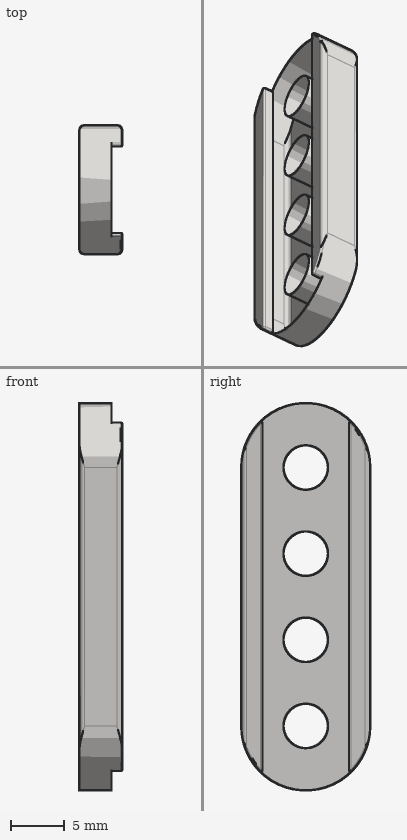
import cadquery as cq

length = 36.0
width = length / 3
thickness = length / 9
plate_thickness = thickness * 3 / 4
side_round = 0.5

hole_count = 4
hole_pitch = width * 2 / 3
hole_diameter = 4.1

lip_gap = width * 2 / 3
lip_tip_radius = 0.198
lip_edge_radius = 0.18


def round_ended_bar(depth):
    """Bar with semicircular ends, its back face on X = 0."""
    return cq.Workplane("YZ").slot2D(length, width, 90).extrude(depth)


def rounded_side_envelope():
    """Full-length block whose long edges carry the side rounding."""
    block = cq.Workplane("XY").box(thickness, width, length, centered=(False, True, True))
    return block.edges("|Z").fillet(side_round)


def lip(side):
    """Edge strip left outside the central gap; side is +1 or -1 along Y."""
    strip_center = side * (lip_gap + width) / 4
    strip_width = (width - lip_gap) / 2
    strip = (
        cq.Workplane("XY")
        .center(0, strip_center)
        .box(thickness, strip_width, length, centered=(False, True, True))
    )
    blank = round_ended_bar(thickness).intersect(strip)
    inner_edges = "<Y" if side > 0 else ">Y"
    blank = blank.faces(inner_edges).edges("|X").fillet(lip_tip_radius)
    return blank.faces(">X").edges().fillet(lip_edge_radius)


def holes():
    """Row of through holes along the length."""
    return (
        cq.Workplane("YZ")
        .rarray(0.35, hole_pitch, 1, hole_count)
        .circle(hole_diameter / 2)
        .extrude(thickness)
    )


body = round_ended_bar(plate_thickness)
for side in (-1, 1):
    body = body.union(lip(side))

result = body.intersect(rounded_side_envelope()).cut(holes())